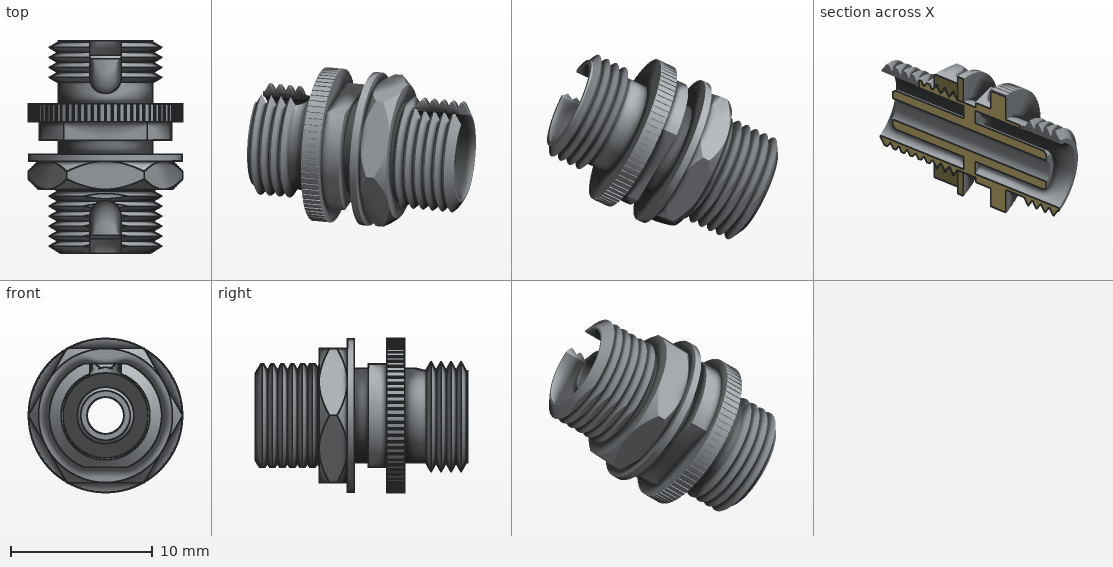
import cadquery as cq
import math

length = 14.99
front_end = -length / 2
rear_end = length / 2

neck_radius = 3.35
thread_crest_radius = 3.95
thread_pitch = 0.7
front_crest_setback = 0.51
front_crest_count = 9
front_end_radius = 3.13
rear_crest_setback = 0.48
rear_crest_count = 4

flat_height = 3.65

flange_radius = 4.68
flange_front = rear_end - 7.02
knurl_radius = 10.87 / 2
knurl_front = rear_end - 5.73
knurl_rear = rear_end - 4.45
groove_count = 72
groove_width = 0.12
groove_depth = 0.07

slot_width = 2.2
slot_length = 3.72
socket_radius = 3.0
socket_depth = 7.0
sleeve_radius = 2.0
sleeve_setback = 1.03
sleeve_chamfer = 0.25
hole_radius = 1.29

washer_rear = rear_end - 7.99
washer_front = front_end + front_crest_setback + (front_crest_count - 0.5) * thread_pitch
washer_radius = 5.43
nut_front = rear_end - 10.48
nut_across_flats = 9.45
nut_across_corners = nut_across_flats / math.cos(math.radians(30))
nut_chamfer = (nut_across_corners - nut_across_flats) / 2


def cylinder_y(radius, y_front, y_rear):
    """Cylinder on the Y axis between two Y positions."""
    return cq.Workplane("XZ", origin=(0, y_rear, 0)).circle(radius).extrude(y_rear - y_front)


def tube_y(outer_radius, inner_radius, y_front, y_rear):
    """Ring on the Y axis between two Y positions."""
    return cylinder_y(outer_radius, y_front, y_rear).cut(cylinder_y(inner_radius, y_front, y_rear))


def thread_points(first_crest_y, crest_count, direction):
    """Sharp-V outline (radius, y) from the first crest to the last root."""
    points = []
    for index in range(crest_count):
        crest_y = first_crest_y + direction * index * thread_pitch
        points.append((thread_crest_radius, crest_y))
        points.append((neck_radius, crest_y + direction * thread_pitch / 2))
    return points


def make_turned_blank():
    """Threaded barrel, solid inside, without flange and knurled ring."""
    front_thread = thread_points(front_end + front_crest_setback, front_crest_count, 1)
    rear_first_crest = rear_end - rear_crest_setback
    rear_thread = thread_points(rear_first_crest, rear_crest_count, -1)
    outline = [(0, front_end), (front_end_radius, front_end)]
    outline += front_thread
    outline += reversed(rear_thread)
    outline += [(neck_radius, rear_first_crest + thread_pitch / 2), (neck_radius, rear_end), (0, rear_end)]
    return cq.Workplane("XY").polyline(outline).close().revolve(360, (0, 0, 0), (0, 1, 0))


def cut_flats(body):
    """Trim the front thread and the flange to parallel top and bottom flats."""
    y_length = knurl_front - front_end
    keep = cq.Workplane("XY").box(2 * knurl_radius, y_length, 2 * flat_height)
    return body.intersect(keep.translate((0, front_end + y_length / 2, 0)))


def make_knurled_ring():
    """Ring with straight grooves around its rim, one of them at the top."""
    ring = cylinder_y(knurl_radius, knurl_front, knurl_rear)
    grooves = (
        cq.Workplane("XZ", origin=(0, knurl_rear, 0))
        .polarArray(knurl_radius, 0, 360, groove_count)
        .rect(2 * groove_depth, groove_width)
        .extrude(knurl_rear - knurl_front)
    )
    return ring.cut(grooves)


def make_socket():
    """Cutter for the front socket, leaving the chamfered sleeve standing."""
    floor_y = front_end + socket_depth
    sleeve = (
        cylinder_y(sleeve_radius, front_end + sleeve_setback, floor_y)
        .faces("<Y")
        .chamfer(sleeve_chamfer)
    )
    return cylinder_y(socket_radius, front_end, floor_y).cut(sleeve)


def make_key_slot():
    """Cutter for the round-ended slot through the top of the front socket wall."""
    half_width = slot_width / 2
    arc_start_y = front_end + slot_length - half_width
    slot = (
        cq.Workplane("XY")
        .moveTo(-half_width, front_end)
        .lineTo(-half_width, arc_start_y)
        .threePointArc((0, front_end + slot_length), (half_width, arc_start_y))
        .lineTo(half_width, front_end)
        .close()
        .extrude(thread_crest_radius)
    )
    return slot.cut(cylinder_y(socket_radius, front_end, rear_end))


def make_housing():
    barrel = make_turned_blank()
    front = barrel.union(cylinder_y(flange_radius, flange_front, knurl_front))
    rear = barrel.intersect(cylinder_y(knurl_radius, knurl_front, rear_end))
    housing = cut_flats(front).union(rear).union(make_knurled_ring())
    for cutter in (make_socket(), make_key_slot()):
        housing = housing.cut(cutter)
        housing = housing.cut(cutter.mirror("XZ"))
    return housing.cut(cylinder_y(hole_radius, front_end, rear_end))


def make_washer():
    return tube_y(washer_radius, neck_radius, washer_front, washer_rear)


def make_nut():
    """Hexagon nut with a corner on each X side, chamfered on both faces and threaded to fit the barrel."""
    thickness = washer_front - nut_front
    hexagon = (
        cq.Workplane("XZ", origin=(0, washer_front, 0))
        .polygon(6, nut_across_corners)
        .extrude(thickness)
    )
    envelope = (
        cylinder_y(nut_across_corners / 2, nut_front, washer_front)
        .faces("<Y or >Y")
        .chamfer(nut_chamfer)
    )
    return hexagon.intersect(envelope).cut(make_turned_blank())


housing = make_housing()
washer = make_washer()
nut = make_nut()

result = cq.Compound.makeCompound([housing.val(), washer.val(), nut.val()])